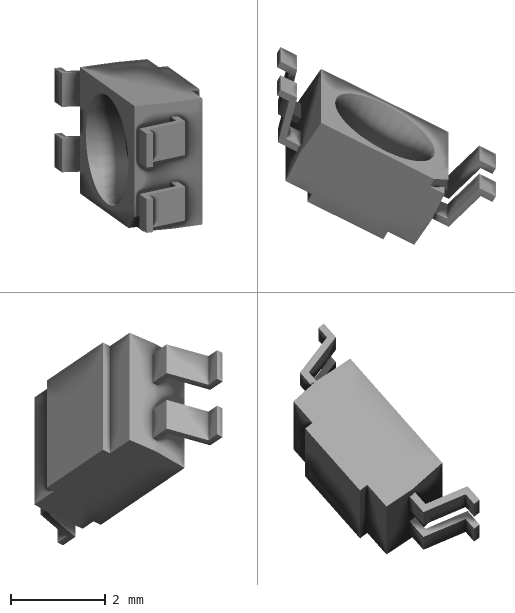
import math

import cadquery as cq


OVERALL_WIDTH = 5.2
OVERALL_DEPTH = 1.9
BODY_HEIGHT = 2.8

BODY_WIDTH = 3.2
BODY_FRONT_Y = 0.15
BODY_BACK_Y = 1.7
SIDE_DRAFT = math.radians(4)
BACK_STEP_WIDTH = 1.83

CUP_MOUTH_RADIUS = 1.2
CUP_FLOOR_RADIUS = 0.955
CUP_DEPTH = 0.8

MARK_LEG = 0.34
MARK_DEPTH = 0.2

LEAD_THICKNESS = 0.15
LEAD_WIDTH = 0.75
LEAD_PITCH = 1.45
LEAD_BACK_Y = 1.1
FOOT_LENGTH = 0.4
LEG_SLANT = math.radians(15)
LEAD_EMBED = 0.2

PARTING_Y = LEAD_BACK_Y - LEAD_THICKNESS / 2


def body_half_width(y):
    """Half width of the drafted body at the given Y."""
    return BODY_WIDTH / 2 - abs(y - PARTING_Y) * math.tan(SIDE_DRAFT)


def make_body():
    """Six-sided outline plus the back step, extruded over the full height."""
    front_half = body_half_width(BODY_FRONT_Y)
    back_half = body_half_width(BODY_BACK_Y)
    main = (
        cq.Workplane("XY")
        .polyline([
            (-front_half, BODY_FRONT_Y),
            (front_half, BODY_FRONT_Y),
            (BODY_WIDTH / 2, PARTING_Y),
            (back_half, BODY_BACK_Y),
            (-back_half, BODY_BACK_Y),
            (-BODY_WIDTH / 2, PARTING_Y),
        ])
        .close()
        .extrude(BODY_HEIGHT / 2, both=True)
    )
    step_depth = OVERALL_DEPTH - BODY_BACK_Y
    back_step = (
        cq.Workplane("XY")
        .center(0, BODY_BACK_Y + step_depth / 2)
        .rect(BACK_STEP_WIDTH, step_depth)
        .extrude(BODY_HEIGHT / 2, both=True)
    )
    return main.union(back_step)


def make_cup():
    """Cone frustum that opens on the front face and narrows towards +Y."""
    return cq.Workplane(cq.Solid.makeCone(
        CUP_MOUTH_RADIUS,
        CUP_FLOOR_RADIUS,
        CUP_DEPTH,
        cq.Vector(0, BODY_FRONT_Y, 0),
        cq.Vector(0, 1, 0),
    ))


def make_corner_mark():
    """Triangular prism at the +X, -Z corner, grown past the drafted side so it cuts clear."""
    mark_x = body_half_width(BODY_FRONT_Y) - MARK_LEG
    bottom_z = -BODY_HEIGHT / 2
    outer_x = BODY_WIDTH / 2
    return (
        cq.Workplane("XZ", origin=(0, BODY_FRONT_Y, 0))
        .polyline([
            (mark_x, bottom_z),
            (outer_x, bottom_z),
            (outer_x, bottom_z + outer_x - mark_x),
        ])
        .close()
        .extrude(-MARK_DEPTH)
    )


def make_lead(center_z):
    """Gull-wing lead on the +X side: foot, slanted leg and an arm that ends inside the body."""
    tip_x = OVERALL_WIDTH / 2
    arm_end_x = BODY_WIDTH / 2 - LEAD_EMBED
    arm_front_y = LEAD_BACK_Y - LEAD_THICKNESS
    slope = math.tan(LEG_SLANT)
    inner_foot_x = tip_x - FOOT_LENGTH
    outer_foot_x = inner_foot_x + LEAD_THICKNESS / math.cos(LEG_SLANT)
    return (
        cq.Workplane("XY", origin=(0, 0, center_z))
        .polyline([
            (tip_x, 0),
            (tip_x, LEAD_THICKNESS),
            (outer_foot_x - LEAD_THICKNESS * slope, LEAD_THICKNESS),
            (outer_foot_x - LEAD_BACK_Y * slope, LEAD_BACK_Y),
            (arm_end_x, LEAD_BACK_Y),
            (arm_end_x, arm_front_y),
            (inner_foot_x - arm_front_y * slope, arm_front_y),
            (inner_foot_x, 0),
        ])
        .close()
        .extrude(LEAD_WIDTH / 2, both=True)
    )


result = make_body().cut(make_cup()).cut(make_corner_mark())
for lead_z in (-LEAD_PITCH / 2, LEAD_PITCH / 2):
    lead = make_lead(lead_z)
    result = result.union(lead).union(lead.mirror("YZ"))